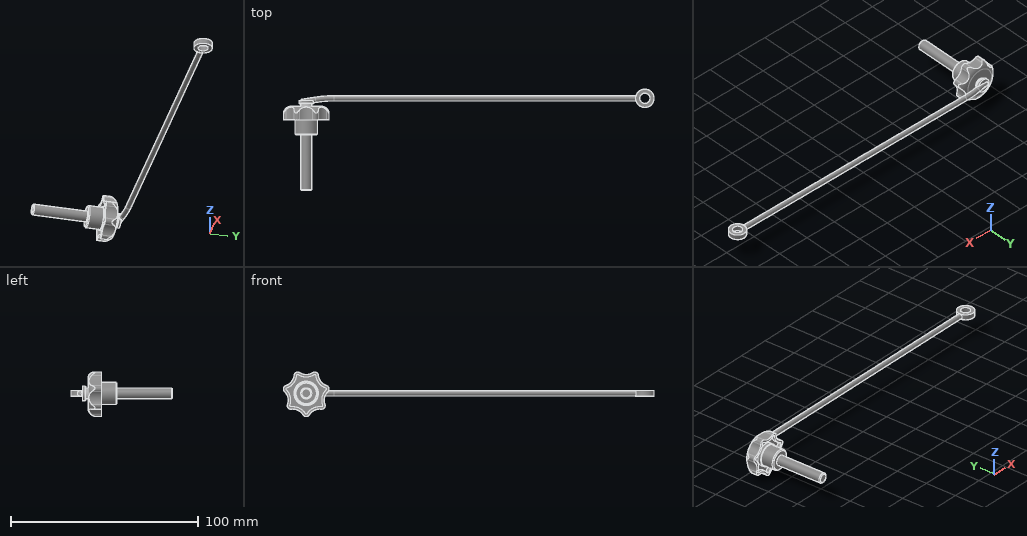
import cadquery as cq
import math

lobe_count = 7
lobe_radius = 2.0
lobe_center_radius = 10.5
valley_radius = 10.1
knob_height = 7.3
crown_flat_diameter = 13.0
crown_mid_radius = 10.7
crown_mid_height = 6.3
rim_height = 3.5
wall = 1.4
recess_depth = 2.0

hub_diameter = 12.0
hub_length = 8.1
collar_diameter = 13.0
hub_chamfer = 0.5
stud_diameter = 6.0
stud_tip = 37.9
stud_chamfer = 0.5
post_diameter = 6.0
head_diameter = 8.0
head_seat = 8.3
head_thickness = 2.0
head_chamfer = 0.5

rod_diameter = 3.0
rod_offset = 11.5
bend_start = 14.9
bend_radius = 63.5
tilt = 9.0
rod_start = -2.5
eye_diameter = 10.0
eye_hole_diameter = 5.4
eye_thickness = 3.2
overall_length = 198.2

half_pitch = math.pi / lobe_count
knob_tip_radius = lobe_center_radius + lobe_radius
knob_half_width = lobe_center_radius * math.cos(half_pitch / 2) + lobe_radius
eye_center = overall_length - knob_half_width - eye_diameter / 2


def cylinder_along_y(diameter, start, end):
    """Cylinder on the knob axis between two Y positions."""
    plane = cq.Plane(origin=(0, start, 0), xDir=(1, 0, 0), normal=(0, 1, 0))
    return cq.Workplane(plane).circle(diameter / 2).extrude(end - start)


def polar(radius, angle):
    return (radius * math.cos(angle), radius * math.sin(angle))


def lobed_outline():
    """Star-knob outline of convex lobes joined by tangent concave valleys, one lobe at -Z."""
    touch_gap = valley_radius - lobe_radius
    valley_center = (lobe_center_radius**2 - touch_gap**2) / (
        2 * (lobe_center_radius * math.cos(half_pitch) - touch_gap)
    )
    valley_arc_radius = valley_center - valley_radius
    share = lobe_radius / (lobe_radius + valley_arc_radius)
    lobe_part = lobe_center_radius * (1 - share)
    along = lobe_part + valley_center * share * math.cos(half_pitch)
    across = valley_center * share * math.sin(half_pitch)
    joint_radius = math.hypot(along, across)
    joint_angle = math.atan2(across, along)

    plane = cq.Plane(origin=(0, 0, 0), xDir=(0, 0, -1), normal=(0, 1, 0))
    outline = cq.Workplane(plane).moveTo(*polar(joint_radius, -joint_angle))
    for index in range(lobe_count):
        angle = 2 * half_pitch * index
        next_angle = angle + 2 * half_pitch
        outline = outline.threePointArc(
            polar(knob_tip_radius, angle), polar(joint_radius, angle + joint_angle)
        )
        outline = outline.threePointArc(
            polar(valley_radius, angle + half_pitch), polar(joint_radius, next_angle - joint_angle)
        )
    return outline.close()


def make_knob():
    body = lobed_outline().extrude(knob_height)
    crown = (
        cq.Workplane("XY")
        .lineTo(knob_tip_radius, 0)
        .lineTo(knob_tip_radius, rim_height)
        .threePointArc((crown_mid_radius, crown_mid_height), (crown_flat_diameter / 2, knob_height))
        .lineTo(0, knob_height)
        .close()
        .revolve(360, (0, 0, 0), (0, 1, 0))
    )
    recess = lobed_outline().offset2D(-wall).extrude(recess_depth)
    return body.intersect(crown).cut(recess)


def make_hub_and_stud():
    hub = cylinder_along_y(hub_diameter, -hub_length, recess_depth).faces("<Y").chamfer(hub_chamfer)
    collar = cylinder_along_y(collar_diameter, 0, recess_depth)
    stud = cylinder_along_y(stud_diameter, -stud_tip, 0).faces("<Y").chamfer(stud_chamfer)
    post = cylinder_along_y(post_diameter, 0, head_seat)
    head = cylinder_along_y(head_diameter, head_seat, head_seat + head_thickness)
    head = head.faces("<Y").chamfer(head_chamfer)
    return hub.union(collar).union(stud).union(post).union(head)


def make_rod():
    """Rod with a slight bend, running straight through the head behind the knob."""
    angle = math.radians(tilt)

    def bend_point(turn):
        return (
            bend_start - bend_radius * math.sin(turn),
            rod_offset - bend_radius * (1 - math.cos(turn)),
        )

    bend_end = bend_point(angle)
    start_y = bend_end[1] - (bend_end[0] - rod_start) * math.tan(angle)
    path = (
        cq.Workplane("XY")
        .moveTo(rod_start, start_y)
        .lineTo(*bend_end)
        .threePointArc(bend_point(angle / 2), (bend_start, rod_offset))
        .lineTo(eye_center, rod_offset)
    )
    direction = (math.cos(angle), math.sin(angle), 0)
    start = cq.Plane(origin=(rod_start, start_y, 0), xDir=(0, 0, 1), normal=direction)
    return cq.Workplane(start).circle(rod_diameter / 2).sweep(path)


def add_eye(rod):
    underside = cq.Plane(origin=(eye_center, rod_offset, -eye_thickness / 2))
    ring = cq.Workplane(underside).circle(eye_diameter / 2).extrude(eye_thickness)
    hole = cq.Workplane(underside).circle(eye_hole_diameter / 2).extrude(eye_thickness)
    return rod.union(ring).cut(hole)


result = make_knob().union(make_hub_and_stud()).union(add_eye(make_rod()))